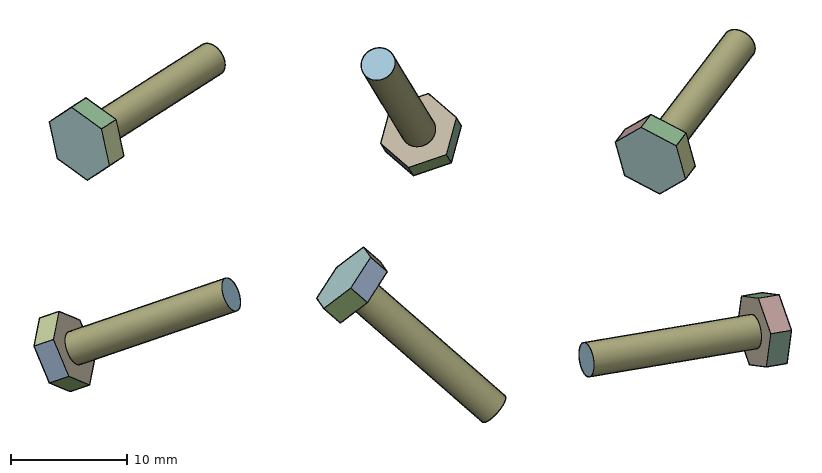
import cadquery as cq

total_length = 18.0
head_height = 2.0
head_across_corners = 6.93
head_turn = -15.2
shank_diameter = 3.0

shank_length = total_length - head_height

underside = cq.Workplane("XZ")

head = (
    underside
    .transformed(rotate=(0, 0, head_turn))
    .polygon(6, head_across_corners)
    .extrude(head_height)
)

shank = underside.circle(shank_diameter / 2).extrude(-shank_length)

result = head.union(shank)